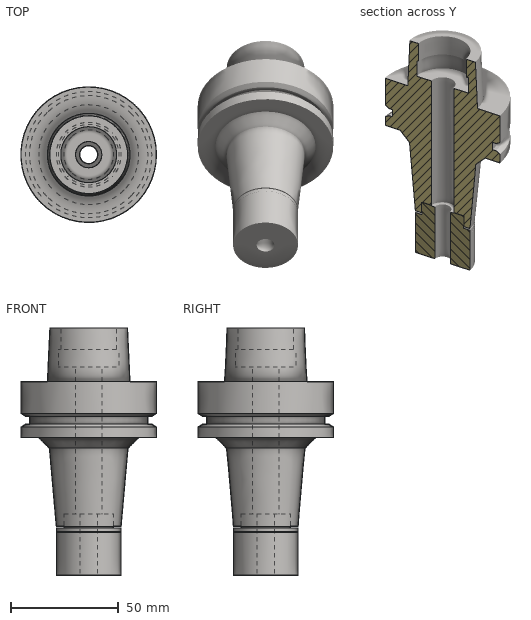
import cadquery as cq

total_height = 115.0
cap_height = 22.1
neck_gap = 0.7
neck_length = 36.3
shoulder_height = 5.0
flange_height = 26.0
holder_bottom = cap_height + neck_gap
neck_top = holder_bottom + neck_length
flange_bottom = neck_top + shoulder_height
flange_top = flange_bottom + flange_height

flange_radius = 31.5
neck_bottom_radius = 15.1
neck_top_radius = 18.3
shoulder_radius = neck_top_radius + shoulder_height
shank_bottom_radius = 19.2
shank_top_radius = 18.0

groove_radius = 27.5
groove_bottom = flange_bottom + 4.8
groove_chamfer_height = 1.4
groove_floor_height = 3.7
groove_lip = 1.8

mouth_radius = 13.0
mouth_depth = 10.0
undercut_radius = 14.0
socket_depth = 18.2
passage_radius = 6.1

cap_radius = 15.1
cap_rim_height = 1.7
cap_line_depth = 0.06
cap_line_height = 0.3
spigot_radius = 11.5
spigot_depth = 5.8
cap_bore_radius = 4.1


def cylinder(radius, bottom, top):
    """Upright cylinder centred on the Z axis."""
    return cq.Workplane("XY").workplane(offset=bottom).circle(radius).extrude(top - bottom)


def make_outer_body():
    """Tapered neck, grooved flange and tapered shank, turned about Z."""
    floor_bottom = groove_bottom + groove_chamfer_height
    floor_top = floor_bottom + groove_floor_height
    groove_top = floor_top + groove_chamfer_height
    profile = [
        (0, holder_bottom),
        (neck_bottom_radius, holder_bottom),
        (neck_top_radius, neck_top),
        (shoulder_radius, flange_bottom),
        (flange_radius, flange_bottom),
        (flange_radius, groove_bottom),
        (groove_radius + groove_lip, floor_bottom),
        (groove_radius, floor_bottom),
        (groove_radius, floor_top),
        (groove_radius + groove_lip, floor_top),
        (flange_radius, groove_top),
        (flange_radius, flange_top),
        (shank_bottom_radius, flange_top),
        (shank_top_radius, total_height),
        (0, total_height),
    ]
    return cq.Workplane("XZ").polyline(profile).close().revolve(360, (0, 0), (0, 1))


def make_holder():
    """Holder with a stepped socket, a passage and a seat for the spigot."""
    undercut_top = total_height - mouth_depth
    socket_floor = total_height - socket_depth
    return (
        make_outer_body()
        .cut(cylinder(mouth_radius, undercut_top, total_height))
        .cut(cylinder(undercut_radius, socket_floor, undercut_top))
        .cut(cylinder(passage_radius, holder_bottom, socket_floor))
        .cut(cylinder(spigot_radius, holder_bottom, holder_bottom + spigot_depth))
    )


def make_cap():
    """Bored cap with a fine line below its rim and a spigot on top."""
    line_top = cap_height - cap_rim_height
    line_bottom = line_top - cap_line_height
    line_ring = cylinder(cap_radius, line_bottom, line_top).cut(
        cylinder(cap_radius - cap_line_depth, line_bottom, line_top)
    )
    spigot_top = holder_bottom + spigot_depth
    return (
        cylinder(cap_radius, 0, cap_height)
        .union(cylinder(spigot_radius, cap_height, spigot_top))
        .cut(line_ring)
        .cut(cylinder(cap_bore_radius, 0, spigot_top))
    )


holder = make_holder()
cap = make_cap()
result = cq.Compound.makeCompound([holder.val(), cap.val()])